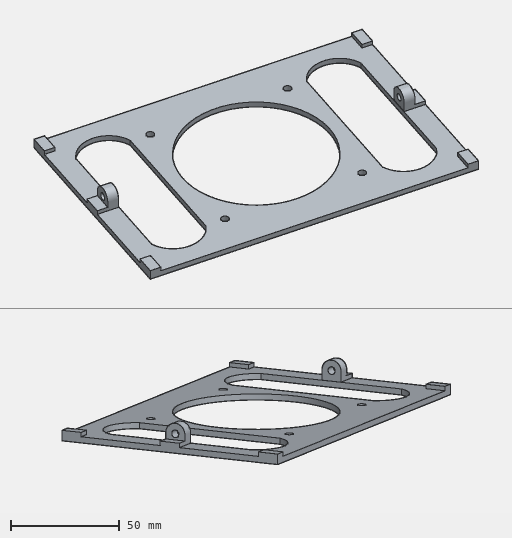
import cadquery as cq
import math

plate_width = 112.0
plate_length = 172
plate_thickness = 3.0

pad_width = 10.0
pad_depth = 5.5
pad_top = 5.0

fan_diameter = 77.0
screw_diameter = 4.0
screw_spacing = 71.9

slot_length = 92.0
slot_straight_length = 73.0
slot_width = 28.4
slot_edge_margin = 11.4

lug_thickness = 5.7
lug_top = 12.7
lug_flat_width = 2.0
lug_hole_diameter = 3.6
lug_radius = pad_width / 2
lug_axis_height = lug_top - math.sqrt(lug_radius**2 - (lug_flat_width / 2) ** 2)


def make_plate():
    return cq.Workplane("XY").box(plate_width, plate_length, plate_thickness, centered=(True, True, False))


def make_pads():
    """Pads at the corners and the middle of both short edges."""
    pad_x = (plate_width - pad_width) / 2
    pad_y = (plate_length - pad_depth) / 2
    centers = [(x, y) for x in (-pad_x, 0, pad_x) for y in (-pad_y, pad_y)]
    return cq.Workplane("XY").pushPoints(centers).rect(pad_width, pad_depth).extrude(pad_top)


def make_slot(center_y):
    """Opening with straight sides and shallow circular ends."""
    half_straight = slot_straight_length / 2
    half_length = slot_length / 2
    low_y = center_y - slot_width / 2
    high_y = center_y + slot_width / 2
    return (
        cq.Workplane("XY")
        .moveTo(-half_straight, low_y)
        .lineTo(half_straight, low_y)
        .threePointArc((half_length, center_y), (half_straight, high_y))
        .lineTo(-half_straight, high_y)
        .threePointArc((-half_length, center_y), (-half_straight, low_y))
        .close()
        .extrude(plate_thickness)
    )


def make_lug():
    """Lug at the -Y edge: round head with a narrow flat on top and a cross hole."""
    outer_y = -plate_length / 2 + pad_depth
    half_flat = lug_flat_width / 2
    arc_angle = math.radians(45)
    arc_x = lug_radius * math.cos(arc_angle)
    arc_z = lug_axis_height + lug_radius * math.sin(arc_angle)
    return (
        cq.Workplane("XZ", origin=(0, outer_y, 0))
        .moveTo(-lug_radius, 0)
        .lineTo(lug_radius, 0)
        .lineTo(lug_radius, lug_axis_height)
        .threePointArc((arc_x, arc_z), (half_flat, lug_top))
        .lineTo(-half_flat, lug_top)
        .threePointArc((-arc_x, arc_z), (-lug_radius, lug_axis_height))
        .close()
        .moveTo(0, lug_axis_height)
        .circle(lug_hole_diameter / 2)
        .extrude(-lug_thickness)
    )


lug = make_lug()
result = make_plate().union(make_pads()).union(lug).union(lug.mirror("XZ"))

slot_y = plate_length / 2 - slot_edge_margin - slot_width / 2
for center_y in (-slot_y, slot_y):
    result = result.cut(make_slot(center_y))

fan_opening = cq.Workplane("XY").circle(fan_diameter / 2).extrude(plate_thickness)
screw_holes = (
    cq.Workplane("XY")
    .rect(screw_spacing, screw_spacing, forConstruction=True)
    .vertices()
    .circle(screw_diameter / 2)
    .extrude(plate_thickness)
)
result = result.cut(fan_opening).cut(screw_holes)